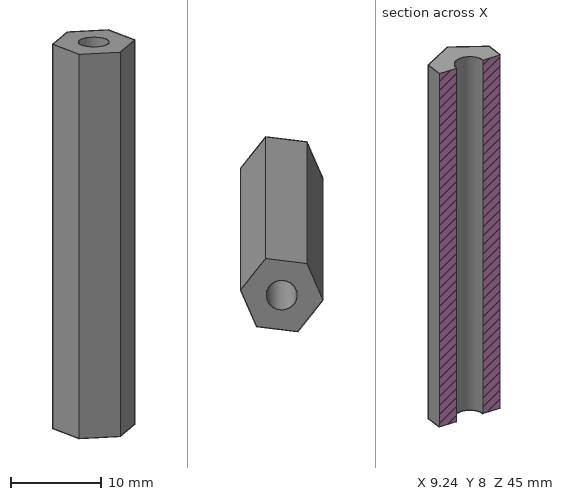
import cadquery as cq
import math

length = 45.0
across_flats = 8.0
bore_diameter = 3.4

across_corners = across_flats / math.cos(math.pi / 6)

body = cq.Workplane("XY").polygon(6, across_corners).extrude(length)
result = body.faces(">Z").workplane().hole(bore_diameter)